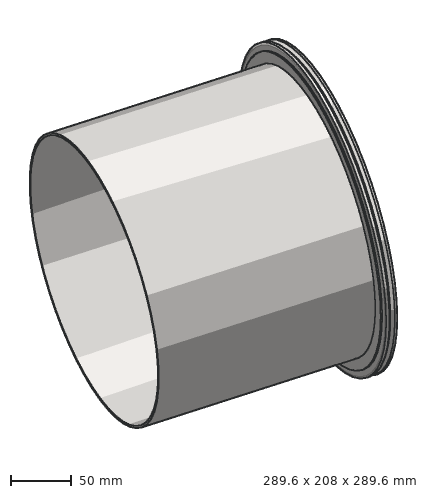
import cadquery as cq

OUTER_RADIUS = 144.8
LENGTH = 208.0
FRONT_Y = -LENGTH / 2
BACK_Y = LENGTH / 2

TUBE_RADIUS = 127.0
TUBE_WALL = 2.0

FLANGE_THICKNESS = 12.0
FLANGE_FRONT_Y = BACK_Y - FLANGE_THICKNESS

LAND_RADIUS = 137.5
LAND_HEIGHT = 1.5

BEVEL_WIDTH = 2.0
BEVEL_DEPTH = 0.3

GROOVE_BACK_Y = BACK_Y - 2.3
GROOVE_ROOT_Y = BACK_Y - 5.2
GROOVE_FRONT_Y = BACK_Y - 7.2
GROOVE_DEPTH = 2.3


def revolve_about_y(outline):
    """Turn a closed outline of (radius, y) points into a solid ring."""
    return cq.Workplane("XY").polyline(outline).close().revolve(360, (0, 0, 0), (0, 1, 0))


def make_tube():
    """Thin straight tube over the full length."""
    bore_radius = TUBE_RADIUS - TUBE_WALL
    return revolve_about_y([
        (bore_radius, FRONT_Y),
        (TUBE_RADIUS, FRONT_Y),
        (TUBE_RADIUS, BACK_Y),
        (bore_radius, BACK_Y),
    ])


def make_flange():
    """Flange ring around the tube, with a raised land, bevelled rim and V groove."""
    step_y = FLANGE_FRONT_Y + LAND_HEIGHT
    return revolve_about_y([
        (TUBE_RADIUS, FLANGE_FRONT_Y),
        (LAND_RADIUS, FLANGE_FRONT_Y),
        (LAND_RADIUS, step_y),
        (OUTER_RADIUS - BEVEL_WIDTH, step_y),
        (OUTER_RADIUS, step_y + BEVEL_DEPTH),
        (OUTER_RADIUS, GROOVE_FRONT_Y),
        (OUTER_RADIUS - GROOVE_DEPTH, GROOVE_ROOT_Y),
        (OUTER_RADIUS, GROOVE_BACK_Y),
        (OUTER_RADIUS, BACK_Y),
        (TUBE_RADIUS, BACK_Y),
    ])


tube = make_tube()
flange = make_flange()

result = cq.Compound.makeCompound([tube.val(), flange.val()])